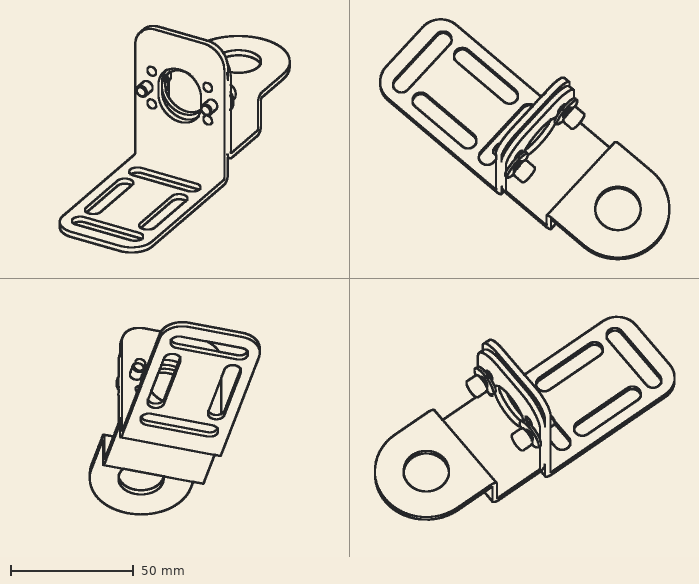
import cadquery as cq

length = 137.2
width = 42.0
height = 63.5
sheet = 2.5
inner_bend = 0.7
outer_bend = inner_bend + sheet

upright_front = 68.5
upright_thickness = 2.9
upright_back = upright_front + upright_thickness
front_corner_radius = 9.6

plate_back = upright_back + sheet
plate_top = 60.5
plate_corner_radius = 12.8
shelf_bottom = 9.6
shelf_top = shelf_bottom + sheet
tab_top = 28.3
tab_bottom = tab_top - sheet
riser_back = 98.3
riser_front = riser_back - sheet
tab_hole_diameter = 18.5

slot_length = 32.5
slot_width = 6.9
slot_center_y = 33.0
cross_slot_offset = 23.3
long_slot_offset = 12.8

opening_z = 35.8
opening_diameter = 20.0
opening_height = 24.5
small_hole_diameter = 4.1
small_hole_offset_x = 13.2
small_hole_offset_z = 7.7

screw_offset = 15.2
screw_diameter = 5.0
screw_tip_y = 63.4
tip_chamfer = 0.4
washer_diameter = 12.8
washer_thickness = 1.2
head_diameter = 8.0
head_length = 5.0
head_gap = 1.2
head_edge_radius = 0.4


def extrude_across(profile):
    """Extrude a YZ side profile symmetrically over the full width."""
    return profile.close().extrude(width / 2, both=True)


def cylinder_along_y(x, z, diameter, y_start, y_end):
    """Make a cylinder about an axis parallel to Y."""
    origin = cq.Vector(x, y_start, z)
    body = cq.Solid.makeCylinder(diameter / 2, y_end - y_start, origin, cq.Vector(0, 1, 0))
    return cq.Workplane(obj=body)


def front_bracket():
    """L-shaped bracket with rounded outer corners and four base slots."""
    profile = (
        cq.Workplane("YZ")
        .lineTo(upright_back - outer_bend, 0)
        .radiusArc((upright_back, outer_bend), -outer_bend)
        .lineTo(upright_back, height)
        .lineTo(upright_front, height)
        .lineTo(upright_front, sheet + inner_bend)
        .radiusArc((upright_front - inner_bend, sheet), inner_bend)
        .lineTo(0, sheet)
    )
    body = extrude_across(profile)
    body = body.faces("<Y").edges("|Z").fillet(front_corner_radius)
    body = body.faces(">Z").edges("|Y").fillet(front_corner_radius)

    for side in (-1, 1):
        cross_slot = cq.Workplane("XY").center(0, slot_center_y + side * cross_slot_offset)
        cross_slot = cross_slot.slot2D(slot_length, slot_width).extrude(sheet)
        long_slot = cq.Workplane("XY").center(side * long_slot_offset, slot_center_y)
        long_slot = long_slot.slot2D(slot_length, slot_width, 90).extrude(sheet)
        body = body.cut(cross_slot).cut(long_slot)
    return body


def rear_bracket():
    """Stepped bracket ending in a raised, fully rounded tab with a hole."""
    profile = (
        cq.Workplane("YZ")
        .moveTo(upright_back, plate_top)
        .lineTo(upright_back, shelf_bottom + outer_bend)
        .radiusArc((upright_back + outer_bend, shelf_bottom), -outer_bend)
        .lineTo(riser_back - outer_bend, shelf_bottom)
        .radiusArc((riser_back, shelf_bottom + outer_bend), -outer_bend)
        .lineTo(riser_back, tab_bottom - inner_bend)
        .radiusArc((riser_back + inner_bend, tab_bottom), inner_bend)
        .lineTo(length, tab_bottom)
        .lineTo(length, tab_top)
        .lineTo(riser_front + outer_bend, tab_top)
        .radiusArc((riser_front, tab_top - outer_bend), -outer_bend)
        .lineTo(riser_front, shelf_top + inner_bend)
        .radiusArc((riser_front - inner_bend, shelf_top), inner_bend)
        .lineTo(plate_back + inner_bend, shelf_top)
        .radiusArc((plate_back, shelf_top + inner_bend), inner_bend)
        .lineTo(plate_back, plate_top)
    )
    body = extrude_across(profile)
    body = body.faces(">Z").edges("|Y").fillet(plate_corner_radius)

    tab_radius = width / 2
    tab_center_y = length - tab_radius
    plan_outline = (
        cq.Workplane("XY")
        .moveTo(-tab_radius, 0)
        .lineTo(tab_radius, 0)
        .lineTo(tab_radius, tab_center_y)
        .threePointArc((0, length), (-tab_radius, tab_center_y))
        .close()
        .extrude(height)
    )
    tab_hole = cq.Workplane("XY").center(0, tab_center_y).circle(tab_hole_diameter / 2).extrude(height)
    return body.intersect(plan_outline).cut(tab_hole)


def upright_openings():
    """Upright slot in the front plate, round hole in the rear one, four small holes."""
    front_slot = (
        cq.Workplane("XZ", origin=(0, upright_back, opening_z))
        .slot2D(opening_height, opening_diameter, 90)
        .extrude(upright_thickness)
    )
    cutter = front_slot.union(cylinder_along_y(0, opening_z, opening_diameter, upright_front, plate_back))
    for side_x in (-1, 1):
        for side_z in (-1, 1):
            x = side_x * small_hole_offset_x
            z = opening_z + side_z * small_hole_offset_z
            cutter = cutter.union(cylinder_along_y(x, z, small_hole_diameter, upright_front, plate_back))
    return cutter


def screw_with_washer(x):
    """Cap screw along Y, head behind the plates, with its washer."""
    washer_back = plate_back + washer_thickness
    head_start = washer_back + head_gap
    head_end = head_start + head_length
    shank = cylinder_along_y(x, opening_z, screw_diameter, screw_tip_y, head_end)
    shank = shank.faces("<Y").chamfer(tip_chamfer)
    washer = cylinder_along_y(x, opening_z, washer_diameter, plate_back, washer_back)
    head = cylinder_along_y(x, opening_z, head_diameter, head_start, head_end)
    head = head.faces(">Y").edges().fillet(head_edge_radius)
    return shank.union(washer).union(head)


result = front_bracket().union(rear_bracket()).cut(upright_openings())
for side in (-1, 1):
    result = result.union(screw_with_washer(side * screw_offset))